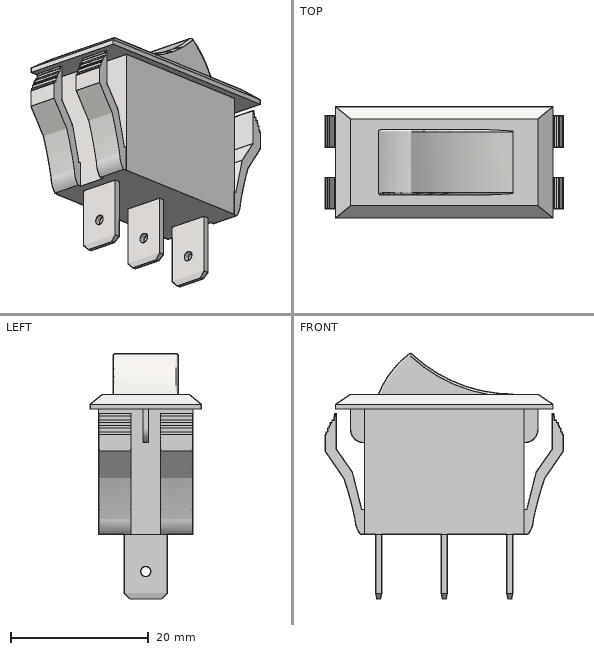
import cadquery as cq
import math


bezel_length = 31.6
bezel_width = 16.2
bezel_height = 2.18
rim_height = 0.7
bevel_inset_x = 2.18
bevel_inset_y = 1.8

body_length = 23.18
body_width = 13.75
body_depth = 18.2

rib_reach = 2.05
rib_thickness = 0.85
rib_depth = 4.85
rib_radius = 1.93

clip_reach = 17.3
clip_inner_y = 2.18
clip_outer_y = 6.78
clip_top_depth = 0.65
clip_inner_x = 15.65
clip_ledge_depth = 14.55
clip_shoulder_depth = 6.1
clip_outer_knee = (14.6, 10.05)
clip_shank_middle = (13.7, 12.98)
clip_heel_start = (12.98, 15.95)
clip_heel_middle = (12.73, 17.2)
clip_heel_end_x = 12.15
clip_ledge_x = 11.98
clip_inner_knee = (13.35, 9.13)
clip_inner_shoulder_depth = 5.8
clip_steps = [
    (15.9, 1.0),
    (16.0, 1.57),
    (16.35, 1.93),
    (16.58, 2.35),
    (16.72, 2.7),
    (16.95, 3.28),
    (17.15, 3.65),
]

rocker_left_x = -9.85
rocker_right_x = 10.0
rocker_apex_x = -4.9
rocker_apex_z = 8.2
rocker_bulge_point = (-7.55, 5.65)
rocker_width = 9.5
rocker_fillet = 0.35
rocker_end_z = bezel_height + 0.05
rocker_root_z = 1.43

terminal_pitch = 9.52
terminal_thickness = 0.9
terminal_tip_thickness = 0.57
terminal_width = 6.28
terminal_depth = 27.55
terminal_chamfer = 0.82
terminal_hole_diameter = 1.43
terminal_hole_depth = 23.57


def make_bezel():
    """Rectangular plate with a straight rim and four bevelled sides."""
    rim = cq.Workplane("XY").rect(bezel_length, bezel_width).extrude(rim_height)
    bevel = (
        cq.Workplane("XY", origin=(0, 0, rim_height))
        .rect(bezel_length, bezel_width)
        .workplane(offset=bezel_height - rim_height)
        .rect(bezel_length - 2 * bevel_inset_x, bezel_width - 2 * bevel_inset_y)
        .loft(ruled=True)
    )
    return rim.union(bevel)


def make_body():
    """Plain rectangular housing."""
    return cq.Workplane("XY").rect(body_length, body_width).extrude(-body_depth)


def make_rib():
    """Thin rib on the +X end, rounded at its lower outer corner."""
    return (
        cq.Workplane("XY", origin=(body_length / 2, 0, -rib_depth))
        .box(rib_reach, rib_thickness, rib_depth, centered=(False, True, False))
        .edges(">X and <Z")
        .fillet(rib_radius)
    )


def make_clip():
    """Spring clip on the +X end, on the +Y side of the mid-plane."""
    wall_x = body_length / 2
    outline = cq.Workplane("XZ").moveTo(clip_inner_x, clip_top_depth)
    depth = clip_top_depth
    for step_x, next_depth in clip_steps:
        outline = outline.lineTo(step_x, depth).lineTo(step_x, next_depth)
        depth = next_depth
    outline = (
        outline.lineTo(clip_reach, depth)
        .lineTo(clip_reach, clip_shoulder_depth)
        .lineTo(*clip_outer_knee)
        .threePointArc(clip_shank_middle, clip_heel_start)
        .threePointArc(clip_heel_middle, (clip_heel_end_x, body_depth))
        .lineTo(wall_x, body_depth)
        .lineTo(wall_x, clip_ledge_depth)
        .lineTo(clip_ledge_x, clip_ledge_depth)
        .lineTo(*clip_inner_knee)
        .lineTo(clip_inner_x, clip_inner_shoulder_depth)
        .close()
    )
    blade = outline.extrude(clip_outer_y - clip_inner_y)
    return blade.rotate((0, 0, 0), (1, 0, 0), 180).translate((0, clip_inner_y, 0))


def make_rocker():
    """Rocker with a bulging short face and a dished long face that runs out level just above the bezel."""
    run = rocker_right_x - rocker_apex_x
    rise = rocker_apex_z - rocker_end_z
    dish_radius = (run**2 + rise**2) / (2 * rise)
    half_sweep = math.asin(run / dish_radius) / 2
    dish_middle = (
        rocker_right_x - dish_radius * math.sin(half_sweep),
        rocker_end_z + dish_radius * (1 - math.cos(half_sweep)),
    )
    profile = (
        cq.Workplane("XZ")
        .moveTo(rocker_left_x, rocker_root_z)
        .threePointArc(rocker_bulge_point, (rocker_apex_x, rocker_apex_z))
        .threePointArc(dish_middle, (rocker_right_x, rocker_end_z))
        .lineTo(rocker_right_x, rocker_root_z)
        .close()
    )
    rocker = profile.extrude(rocker_width / 2, both=True)
    side_edges = rocker.edges("%CIRCLE")
    apex_edge = rocker.edges("|Y").edges(">Z")
    return side_edges.add(apex_edge).fillet(rocker_fillet)


def make_terminal():
    """Blade terminal with a tapered, corner-chamfered tip and a cross hole."""
    straight_depth = terminal_depth - terminal_chamfer
    blade = (
        cq.Workplane("XY", origin=(0, 0, -body_depth))
        .rect(terminal_thickness, terminal_width)
        .extrude(body_depth - straight_depth)
    )
    tip = (
        cq.Workplane("XY", origin=(0, 0, -straight_depth))
        .rect(terminal_thickness, terminal_width)
        .workplane(offset=-terminal_chamfer)
        .rect(terminal_tip_thickness, terminal_width - 2 * terminal_chamfer)
        .loft(ruled=True)
    )
    hole = (
        cq.Workplane("YZ")
        .center(0, -terminal_hole_depth)
        .circle(terminal_hole_diameter / 2)
        .extrude(terminal_thickness, both=True)
    )
    return blade.union(tip).cut(hole)


result = make_body().union(make_bezel()).union(make_rocker())

rib = make_rib()
result = result.union(rib).union(rib.mirror("YZ"))

clip = make_clip()
clip_pair = clip.union(clip.mirror("XZ"))
result = result.union(clip_pair).union(clip_pair.mirror("YZ"))

terminal = make_terminal()
for position in (-1, 0, 1):
    result = result.union(terminal.translate((position * terminal_pitch, 0, 0)))